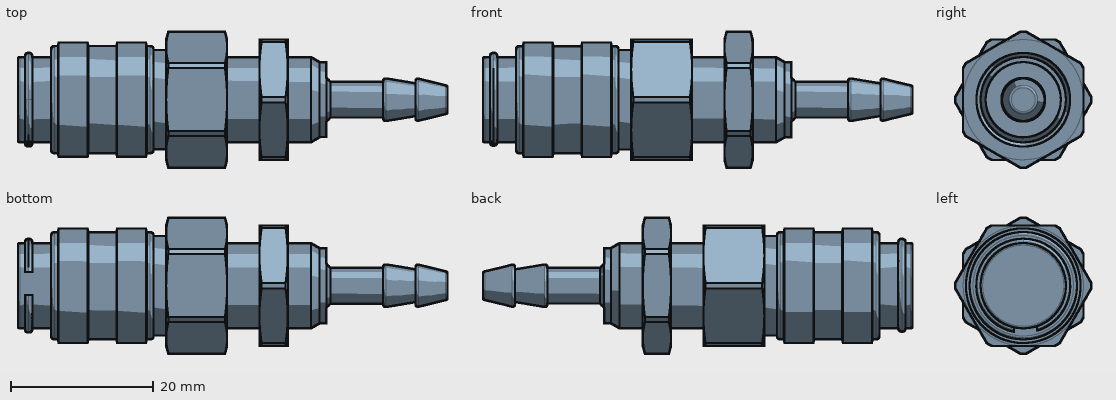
import cadquery as cq
import math

OVERALL_LENGTH = 60.45

END_FACE_DIAMETER = 11.4
END_FILLET = 0.29
BARREL_DIAMETER = END_FACE_DIAMETER + 2 * END_FILLET
BARREL_END = 41.2
SHOULDER_DIAMETER = 10.6
SHOULDER_END = 43.4
SHOULDER_TAPER_ANGLE = 30.0

RING_POSITION = 1.5
RING_CENTER_DIAMETER = 12.15
RING_WIRE_DIAMETER = 1.1
RING_GAP_START_Y = -1.95
RING_GAP_END_Y = 1.3

SLEEVE_START = 4.65
SLEEVE_END = 19.1
SLEEVE_DIAMETER = 15.1
SLEEVE_FILLET = 0.5
BAND_DIAMETER = 16.15
BAND_WIDTH = 4.05
BAND_INSET = 1.1
BAND_SIDE_RUN = 0.1
NECK_DIAMETER = 14.0

HEX_SIDES = 6
HEX_ACROSS_FLATS = 17.0
HEX_CORNER_DIAMETER = 19.15
HEX_CHAMFER_LENGTH = 0.3
HEX_CHAMFER_START_DIAMETER = 16.9
BODY_HEX_START = 20.85
BODY_HEX_LENGTH = 8.6
NUT_START = 34.0
NUT_LENGTH = 4.0
NUT_TURN_ANGLE = 180.0 / HEX_SIDES
NUT_COUNTERSINK_DIAMETER = 13.2

STEM_DIAMETER = 5.1
STEM_ROOT_CHAMFER = 0.55
BARB_DIAMETER = 6.15
BARB_FILLET = 0.35
FIRST_BARB_START = 51.4
SECOND_BARB_START = 55.9
FIRST_BARB_SMALL_DIAMETER = 4.65
TIP_DIAMETER = 3.9
TIP_FILLET = 0.35


def cylinder(start, end, diameter):
    """Solid cylinder on the X axis between two X positions."""
    return cq.Workplane("YZ", origin=(start, 0, 0)).circle(diameter / 2).extrude(end - start)


def revolved(points):
    """Solid of revolution about X from a closed (x, radius) outline."""
    return cq.Workplane("XY").polyline(points).close().revolve(360, (0, 0, 0), (1, 0, 0))


def hexagon(start, length, first_corner_angle):
    """Hexagonal prism with corners turned round and both ends chamfered."""
    corner_radius = HEX_CORNER_DIAMETER / 2
    face_radius = HEX_CHAMFER_START_DIAMETER / 2
    end = start + length
    prism = (
        cq.Workplane("YZ", origin=(start, 0, 0))
        .polygon(HEX_SIDES, HEX_ACROSS_FLATS / math.cos(math.pi / HEX_SIDES))
        .extrude(length)
        .rotate((0, 0, 0), (1, 0, 0), first_corner_angle)
    )
    turned_blank = revolved([
        (start, 0),
        (start, face_radius),
        (start + HEX_CHAMFER_LENGTH, corner_radius),
        (end - HEX_CHAMFER_LENGTH, corner_radius),
        (end, face_radius),
        (end, 0),
    ])
    return prism.intersect(turned_blank)


def barrel():
    """Main cylinder, stepping down through a cone to the shoulder."""
    barrel_radius = BARREL_DIAMETER / 2
    shoulder_radius = SHOULDER_DIAMETER / 2
    taper_length = (barrel_radius - shoulder_radius) / math.tan(math.radians(SHOULDER_TAPER_ANGLE))
    profile = [
        (0, 0),
        (0, barrel_radius),
        (BARREL_END, barrel_radius),
        (BARREL_END + taper_length, shoulder_radius),
        (SHOULDER_END, shoulder_radius),
        (SHOULDER_END, 0),
    ]
    return revolved(profile).faces("<X").edges().fillet(END_FILLET)


def snap_ring():
    """Round-wire ring with a gap at the bottom."""
    center_radius = RING_CENTER_DIAMETER / 2
    ring = cq.Workplane("XY").add(
        cq.Solid.makeTorus(
            center_radius,
            RING_WIRE_DIAMETER / 2,
            cq.Vector(RING_POSITION, 0, 0),
            cq.Vector(1, 0, 0),
        )
    )
    gap_width = RING_GAP_END_Y - RING_GAP_START_Y
    gap_center_y = (RING_GAP_START_Y + RING_GAP_END_Y) / 2
    gap = (
        cq.Workplane("XY", origin=(RING_POSITION, gap_center_y, -center_radius))
        .box(2 * RING_WIRE_DIAMETER, gap_width, center_radius)
    )
    return ring.cut(gap)


def grip_band(start):
    """Raised band with steeply sloping sides that widen it at its root."""
    end = start + BAND_WIDTH
    sleeve_radius = SLEEVE_DIAMETER / 2
    band_radius = BAND_DIAMETER / 2
    return revolved([
        (start - BAND_SIDE_RUN, 0),
        (start - BAND_SIDE_RUN, sleeve_radius),
        (start, band_radius),
        (end, band_radius),
        (end + BAND_SIDE_RUN, sleeve_radius),
        (end + BAND_SIDE_RUN, 0),
    ])


def sleeve():
    """Rounded sleeve with its grip bands, and the neck that joins it to the body hexagon."""
    shape = cylinder(SLEEVE_START, SLEEVE_END, SLEEVE_DIAMETER).edges().fillet(SLEEVE_FILLET)
    last_band_start = SLEEVE_END - BAND_INSET - BAND_WIDTH
    for band_start in (SLEEVE_START + BAND_INSET, last_band_start):
        shape = shape.union(grip_band(band_start))
    return shape.union(cylinder(last_band_start, BODY_HEX_START, NECK_DIAMETER))


def barb(start, end, small_diameter):
    """Cone narrowing towards +X, its wide rim rounded."""
    cone = revolved([
        (start, 0),
        (start, BARB_DIAMETER / 2),
        (end, small_diameter / 2),
        (end, 0),
    ])
    return cone.faces("<X").edges().fillet(BARB_FILLET)


def hose_tail():
    """Stem with a chamfered root, followed by two barbs."""
    stem_radius = STEM_DIAMETER / 2
    stem = revolved([
        (SHOULDER_END, 0),
        (SHOULDER_END, stem_radius + STEM_ROOT_CHAMFER),
        (SHOULDER_END + STEM_ROOT_CHAMFER, stem_radius),
        (FIRST_BARB_START, stem_radius),
        (FIRST_BARB_START, 0),
    ])
    first_barb = barb(FIRST_BARB_START, SECOND_BARB_START, FIRST_BARB_SMALL_DIAMETER)
    second_barb = barb(SECOND_BARB_START, OVERALL_LENGTH, TIP_DIAMETER)
    second_barb = second_barb.faces(">X").edges().fillet(TIP_FILLET)
    return stem.union(first_barb).union(second_barb)


def make_coupling_body():
    """Everything except the loose nut, as one solid."""
    body_hex = hexagon(BODY_HEX_START, BODY_HEX_LENGTH, 0)
    return barrel().union(snap_ring()).union(sleeve()).union(body_hex).union(hose_tail())


def make_lock_nut():
    """Loose hexagon nut, turned half a side from the body hexagon, with a 45 degree countersunk bore."""
    bore_radius = BARREL_DIAMETER / 2
    rim_radius = NUT_COUNTERSINK_DIAMETER / 2
    countersink_depth = rim_radius - bore_radius
    end = NUT_START + NUT_LENGTH
    bore = revolved([
        (NUT_START, 0),
        (NUT_START, rim_radius),
        (NUT_START + countersink_depth, bore_radius),
        (end - countersink_depth, bore_radius),
        (end, rim_radius),
        (end, 0),
    ])
    return hexagon(NUT_START, NUT_LENGTH, NUT_TURN_ANGLE).cut(bore)


coupling_body = make_coupling_body()
lock_nut = make_lock_nut()

result = cq.Compound.makeCompound([coupling_body.val(), lock_nut.val()])